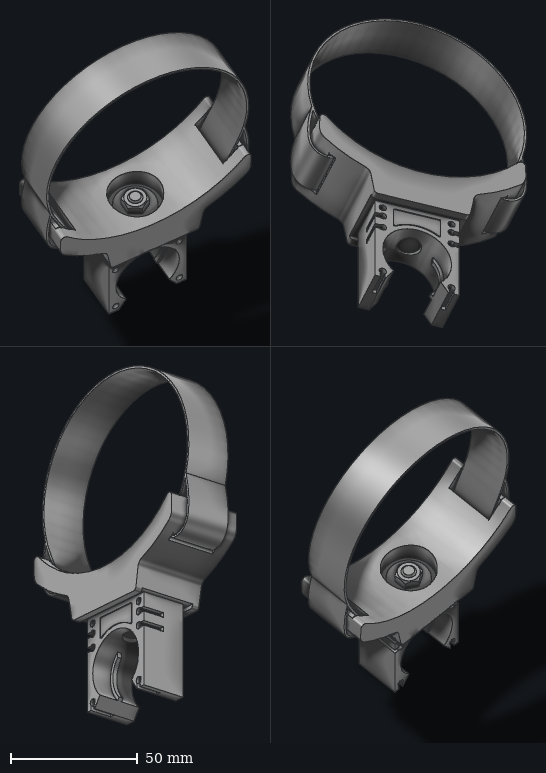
import cadquery as cq
import math


OVERALL_HEIGHT = 140.6

BAND_WIDTH = 20.0
BAND_THICKNESS = 1.0
RING_OUTER_RADIUS = 45.91
RING_END_ANGLE = 26.0
LOOP_JOIN_ANGLE = 16.0
LOOP_WIDEST = (45.4, -25.3)
LOOP_BEND = (42.9, -34.7)
LOOP_BOTTOM = (37.0, -37.3)
ring_radius = RING_OUTER_RADIUS - BAND_THICKNESS / 2

OVERALL_WIDTH = 33.2
END_DRAFT = 1.0
SADDLE_SURFACE_Z = -39.7
CRADLE_RADIUS = 55.0
SADDLE_THICKNESS = 9.0
TIP_Y = 43.2
TIP_TOP_Z = -21.7
TIP_TOP_FILLET = 1.7
TIP_BOTTOM_FILLET = 4.0
NECK_HALF_WIDTH = 20.0
NECK_SLOPE = 10.0
NECK_FILLET = 6.0
NECK_BOTTOM_FILLET = 1.7
SADDLE_BOTTOM_Z = -56.4
CLIP_GROOVE_WIDTH = 25.6
CLIP_TOP_Z = -54.7
NUT_WELL_RADIUS = 11.2
NUT_WELL_DEPTH = 7.7
cradle_centre_z = SADDLE_SURFACE_Z + CRADLE_RADIUS
saddle_outer_radius = CRADLE_RADIUS + SADDLE_THICKNESS
well_floor_z = SADDLE_SURFACE_Z - NUT_WELL_DEPTH

SLOT_WIDTH = 22.2
SLOT_INNER_Y = 34.6
SLOT_OUTER_Y = 37.4
BAR_DROP = 0.3
TURN_CLEARANCE = 0.1

CLIP_LENGTH = 20.0
CLIP_HALF_WIDTH = 17.65
BORE_RADIUS = 14.3
BORE_Z = -79.5
RIB_RADIUS = 12.8
RIB_LENGTH = 2.0
CLIP_BOTTOM_Z = RING_OUTER_RADIUS - OVERALL_HEIGHT
MOUTH_TIP_Y = 8.93
MOUTH_BOTTOM_Y = 13.1
WINDOW_WIDTH = 19.7
WINDOW_DEPTH = 0.4
WINDOW_TOP_Z = -56.7
WINDOW_FLOOR_RADIUS = 16.6
WINDOW_FILLET = 0.5
CORD_HOLE_DIAMETER = 3.0
CORD_HOLE_Y = 14.41
SIDE_SLOT_HOLES_Z = (-62.0, -68.0)
TOP_HOLE_Z = -57.7
BOTTOM_HOLE_Z = -91.5
CORD_SLOT_WIDTH = 2.0
CORD_SLOT_LENGTH = CLIP_LENGTH / 2

BOLT_DIAMETER = 6.0
BOLT_TOP_Z = -40.6
BOLT_CHAMFER = 0.7
HEAD_DIAMETER = 10.0
HEAD_HEIGHT = 6.0
HEAD_BOTTOM_Z = -64.1
WASHER_DIAMETER = 18.0
WASHER_THICKNESS = 1.5
NUT_ACROSS_FLATS = 9.8
NUT_HEIGHT = 4.4
NUT_CHAMFER = 1.1
washer_top_z = well_floor_z + WASHER_THICKNESS
head_top_z = HEAD_BOTTOM_Z + HEAD_HEIGHT

ring_end_angle = math.radians(RING_END_ANGLE)
ring_end_y = ring_radius * math.cos(ring_end_angle)
ring_end_z = -ring_radius * math.sin(ring_end_angle)
turn_y, loop_bottom_z = LOOP_BOTTOM
turn_radius = (turn_y * math.cos(ring_end_angle) - loop_bottom_z * math.sin(ring_end_angle) - ring_radius) / (
    1 + math.sin(ring_end_angle)
)
turn_z = loop_bottom_z + turn_radius
turn_start_y = turn_y - turn_radius * math.cos(ring_end_angle)
turn_start_z = turn_z + turn_radius * math.sin(ring_end_angle)


def disc(radius, bottom_z, height):
    """Upright cylinder on the Z axis."""
    return cq.Workplane("XY").workplane(offset=bottom_z).circle(radius).extrude(height)


def bar_along_x(radius, y, z, length):
    """Cylinder along X, centred on X = 0."""
    return cq.Workplane("YZ").center(y, z).circle(radius).extrude(length / 2, both=True)


def plate_along_x(points, length):
    """Straight-sided YZ outline extruded along X, centred on X = 0."""
    return cq.Workplane("YZ").polyline(points).close().extrude(length / 2, both=True)


def block(x_range, y_range, z_range):
    """Box between pairs of limits."""
    size = [high - low for low, high in (x_range, y_range, z_range)]
    return cq.Workplane("XY").box(*size, centered=False).translate((x_range[0], y_range[0], z_range[0]))


def both_sides(shape):
    """The shape joined with its mirror image across Y = 0."""
    return shape.union(shape.mirror("XZ"))


def band_strip(path, start_plane):
    """Sweep the band section along a path that leaves the start plane squarely."""
    return start_plane.rect(BAND_WIDTH, BAND_THICKNESS).sweep(path)


def make_band():
    middle_angle = (math.pi / 2 - ring_end_angle) / 2
    ring_path = (
        cq.Workplane("YZ")
        .moveTo(0, ring_radius)
        .threePointArc(
            (ring_radius * math.cos(middle_angle), ring_radius * math.sin(middle_angle)),
            (ring_end_y, ring_end_z),
        )
        .lineTo(turn_start_y, turn_start_z)
        .tangentArcPoint(LOOP_BOTTOM, relative=False)
    )
    half_ring = band_strip(ring_path, cq.Workplane("XZ", origin=(0, 0, ring_radius)))

    join_angle = math.radians(LOOP_JOIN_ANGLE)
    loop_join = (ring_radius * math.cos(join_angle), -ring_radius * math.sin(join_angle))
    loop_path = cq.Workplane("YZ").spline(
        [LOOP_BOTTOM, LOOP_BEND, LOOP_WIDEST, loop_join], tangents=[(1, 0), None, (0, 1), None]
    )
    loop = band_strip(loop_path, cq.Workplane("XZ", origin=(0, *LOOP_BOTTOM)))
    return both_sides(half_ring.union(loop))


def saddle_profile():
    """Cradle arms and neck, with plain square ends."""
    stock = 2 * OVERALL_WIDTH
    arms = bar_along_x(saddle_outer_radius, 0, cradle_centre_z, stock).intersect(
        block((-stock, stock), (-TIP_Y, TIP_Y), (SADDLE_BOTTOM_Z, TIP_TOP_Z))
    )
    neck_top_z = SADDLE_SURFACE_Z
    neck_top_y = NECK_HALF_WIDTH + (neck_top_z - SADDLE_BOTTOM_Z) * math.tan(math.radians(NECK_SLOPE))
    neck = plate_along_x(
        [
            (-NECK_HALF_WIDTH, SADDLE_BOTTOM_Z),
            (NECK_HALF_WIDTH, SADDLE_BOTTOM_Z),
            (neck_top_y, neck_top_z),
            (-neck_top_y, neck_top_z),
        ],
        stock,
    )
    profile = arms.union(neck).cut(bar_along_x(CRADLE_RADIUS, 0, cradle_centre_z, stock))

    profile = profile.edges("|X").edges("<<Z[2]").fillet(TIP_BOTTOM_FILLET)
    profile = profile.edges("|X").edges("<<Z[1]").fillet(NECK_FILLET)
    profile = profile.edges("|X").edges("<Z").fillet(NECK_BOTTOM_FILLET)
    return profile.edges("|X").edges(">Z").fillet(TIP_TOP_FILLET)


def band_slot():
    """Slot for the +Y side, with a flat face for the band to bear on and a pocket for its turn."""
    half = SLOT_WIDTH / 2
    clearance_radius = turn_radius + BAND_THICKNESS / 2 + TURN_CLEARANCE
    mouth_y = turn_y - clearance_radius

    offset_y = BAND_THICKNESS / 2 * math.cos(ring_end_angle)
    offset_z = -BAND_THICKNESS / 2 * math.sin(ring_end_angle)
    mouth = plate_along_x(
        [
            (mouth_y, turn_z),
            (turn_y, turn_z),
            (turn_start_y + offset_y, turn_start_z + offset_z),
            (ring_end_y + offset_y, ring_end_z + offset_z),
            (mouth_y, ring_end_z + offset_z),
        ],
        SLOT_WIDTH,
    )
    turn_pocket = bar_along_x(clearance_radius, turn_y, turn_z, SLOT_WIDTH).intersect(
        block((-half, half), (0, SLOT_OUTER_Y), (SADDLE_BOTTOM_Z, 0))
    )
    exit_slot = block((-half, half), (SLOT_INNER_Y, SLOT_OUTER_Y), (SADDLE_BOTTOM_Z, turn_z))
    bar_top = block((-half, half), (mouth_y, TIP_Y), (TIP_TOP_Z - BAR_DROP, TIP_TOP_Z))
    return mouth.union(turn_pocket).union(exit_slot).union(bar_top)


def drafted_ends():
    """Envelope whose two X ends lean in toward the bottom."""
    top_x = OVERALL_WIDTH / 2
    bottom_x = top_x - (TIP_TOP_Z - SADDLE_BOTTOM_Z) * math.tan(math.radians(END_DRAFT))
    return (
        cq.Workplane("XZ")
        .polyline([
            (-bottom_x, SADDLE_BOTTOM_Z),
            (bottom_x, SADDLE_BOTTOM_Z),
            (top_x, TIP_TOP_Z),
            (-top_x, TIP_TOP_Z),
        ])
        .close()
        .extrude(2 * TIP_Y, both=True)
    )


def make_saddle():
    saddle = saddle_profile().intersect(drafted_ends())
    half_groove = CLIP_GROOVE_WIDTH / 2
    groove = block((-half_groove, half_groove), (-TIP_Y, TIP_Y), (SADDLE_BOTTOM_Z, CLIP_TOP_Z))
    well = disc(NUT_WELL_RADIUS, well_floor_z, NUT_WELL_DEPTH + CRADLE_RADIUS)
    bolt_hole = disc(BOLT_DIAMETER / 2, SADDLE_BOTTOM_Z, well_floor_z - SADDLE_BOTTOM_Z)
    return saddle.cut(groove).cut(well).cut(bolt_hole).cut(both_sides(band_slot()))


def clip_window(length):
    """Window outline with an arched floor, extruded along X and centred on X = 0."""
    half = WINDOW_WIDTH / 2
    return (
        block((-length / 2, length / 2), (-half, half), (BORE_Z, WINDOW_TOP_Z))
        .cut(bar_along_x(WINDOW_FLOOR_RADIUS, 0, BORE_Z, length))
        .edges("|X")
        .fillet(WINDOW_FILLET)
    )


def cord_cutters():
    """Cord holes and slots for the +Y leg; the slots run in from the -X face to mid-length."""
    slot_x = (-CLIP_LENGTH / 2, -CLIP_LENGTH / 2 + CORD_SLOT_LENGTH)
    half_slot = CORD_SLOT_WIDTH / 2
    cutters = block(
        slot_x, (CORD_HOLE_Y - half_slot, CORD_HOLE_Y + half_slot), (CLIP_BOTTOM_Z, BOTTOM_HOLE_Z)
    )
    for hole_z in SIDE_SLOT_HOLES_Z:
        cutters = cutters.union(
            block(slot_x, (CORD_HOLE_Y, CLIP_HALF_WIDTH), (hole_z - half_slot, hole_z + half_slot))
        )
    for hole_z in (TOP_HOLE_Z, *SIDE_SLOT_HOLES_Z, BOTTOM_HOLE_Z):
        cutters = cutters.union(bar_along_x(CORD_HOLE_DIAMETER / 2, CORD_HOLE_Y, hole_z, CLIP_LENGTH))
    return cutters


def make_clip():
    half_length = CLIP_LENGTH / 2
    half_window = WINDOW_WIDTH / 2
    clip = block(
        (-half_length, half_length), (-CLIP_HALF_WIDTH, CLIP_HALF_WIDTH), (CLIP_BOTTOM_Z, CLIP_TOP_Z)
    )

    rib = (
        bar_along_x(BORE_RADIUS, 0, BORE_Z, RIB_LENGTH)
        .cut(bar_along_x(RIB_RADIUS, 0, BORE_Z, RIB_LENGTH))
        .cut(block((-half_length, half_length), (-half_window, half_window), (BORE_Z, CLIP_TOP_Z)))
    )
    clip = clip.cut(bar_along_x(BORE_RADIUS, 0, BORE_Z, CLIP_LENGTH)).union(rib)

    mouth_tip_z = BORE_Z - math.sqrt(RIB_RADIUS**2 - MOUTH_TIP_Y**2)
    mouth = plate_along_x(
        [
            (0, BORE_Z),
            (-MOUTH_TIP_Y, mouth_tip_z),
            (-MOUTH_BOTTOM_Y, CLIP_BOTTOM_Z),
            (MOUTH_BOTTOM_Y, CLIP_BOTTOM_Z),
            (MOUTH_TIP_Y, mouth_tip_z),
        ],
        CLIP_LENGTH,
    )
    clip = clip.cut(mouth)

    window = clip_window(WINDOW_DEPTH * 2).translate((-half_length, 0, 0))
    head_recess = disc(HEAD_DIAMETER / 2, BORE_Z, head_top_z - BORE_Z)
    bolt_hole = disc(BOLT_DIAMETER / 2, head_top_z, CLIP_TOP_Z - head_top_z)
    return clip.cut(window).cut(head_recess).cut(bolt_hole).cut(both_sides(cord_cutters()))


def make_bolt():
    shank = disc(BOLT_DIAMETER / 2, head_top_z, BOLT_TOP_Z - head_top_z).faces(">Z").chamfer(BOLT_CHAMFER)
    return shank.union(disc(HEAD_DIAMETER / 2, HEAD_BOTTOM_Z, HEAD_HEIGHT))


def make_washer():
    washer = disc(WASHER_DIAMETER / 2, well_floor_z, WASHER_THICKNESS)
    return washer.cut(disc(BOLT_DIAMETER / 2, well_floor_z, WASHER_THICKNESS))


def make_nut():
    across_corners = NUT_ACROSS_FLATS / math.cos(math.pi / 6)
    hexagon = cq.Workplane("XY").workplane(offset=washer_top_z).polygon(6, across_corners).extrude(NUT_HEIGHT)
    rounded = disc(across_corners / 2, washer_top_z, NUT_HEIGHT).faces(">Z").chamfer(NUT_CHAMFER)
    return hexagon.intersect(rounded).cut(disc(BOLT_DIAMETER / 2, washer_top_z, NUT_HEIGHT))


band = make_band()
saddle = make_saddle()
clip = make_clip()
bolt = make_bolt()
washer = make_washer()
nut = make_nut()

result = cq.Compound.makeCompound(
    [band.val(), saddle.val(), clip.val(), bolt.val(), washer.val(), nut.val()]
)